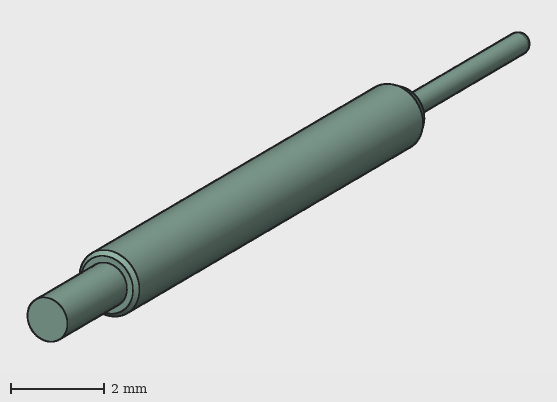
import cadquery as cq

overall_length = 20.0
tail_length = 2.5
body_length = 12.3

tail_diameter = 1.0
body_diameter = 1.5
plunger_diameter = 0.5

rear_chamfer = 0.1
front_taper_length = 0.3
front_taper_depth = 0.14

tail_radius = tail_diameter / 2
body_radius = body_diameter / 2
plunger_radius = plunger_diameter / 2
body_front = tail_length + body_length
plunger_shoulder = overall_length - plunger_radius
tip_arc_offset = plunger_radius * 0.5 ** 0.5


def spring_pin():
    """Tail, barrel and round-tipped plunger, turned as one profile about the Y axis."""
    profile = (
        cq.Workplane("YZ")
        .moveTo(0, 0)
        .lineTo(0, tail_radius)
        .lineTo(tail_length, tail_radius)
        .lineTo(tail_length, body_radius - rear_chamfer)
        .lineTo(tail_length + rear_chamfer, body_radius)
        .lineTo(body_front - front_taper_length, body_radius)
        .lineTo(body_front, body_radius - front_taper_depth)
        .lineTo(body_front, plunger_radius)
        .lineTo(plunger_shoulder, plunger_radius)
        .threePointArc(
            (plunger_shoulder + tip_arc_offset, tip_arc_offset),
            (overall_length, 0),
        )
        .close()
    )
    return profile.revolve(360, (0, 0, 0), (1, 0, 0))


result = spring_pin()